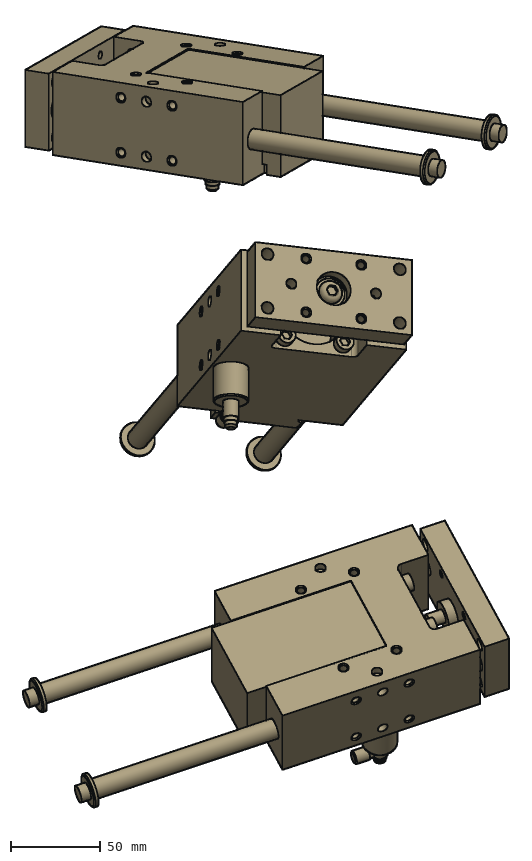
import cadquery as cq
import math


plate_length = 15.0
plate_width = 92.0
plate_height = 45.3
plate_bottom_z = 1.3
corner_hole_d = 7.0
corner_hole_y = 38.8
dowel_d = 6.0
plate_dowel_y = 24.9
plate_dowel_depth = 10.0
tap_d = 4.5
tap_mouth_d = 6.0
plate_recess_d = 20.0
plate_recess_depth = 7.0

axis_z = plate_bottom_z + plate_height / 2
rod_y = 37.0
tap_spacing = 32.5
tap_offset = tap_spacing / 2

washer_d = 17.0
washer_height = 0.8
screw_head_d = 13.5
screw_head_flat_d = 7.0
screw_head_height = 3.5
screw_socket_d = 6.5
screw_socket_depth = 2.0
collar_end_x = 20.7
screw_shank_d = 8.0
screw_shank_end_x = 30.0

rod_d = 12.0
rod_shoulder_x = 250.7
rod_tip_d = 10.0
total_length = 259.0
stop_disc_d = 20.0
stop_disc_thickness = 2.5
stop_disc_chamfer = 0.8

housing_start_x = 19.0
housing_length = 120.5
housing_width = 97.0
housing_height = 49.0
housing_end_x = housing_start_x + housing_length
notch_width = 50.5
notch_end_x = 38.5
notch_corner_r = 3.0
bore_d = 37.8

block_start_x = 66.0
block_end_x = 151.0
block_width = 50.8
block_height = 48.2
relief_r = 2.8
relief_height = 6.0

bolt_offset = 17.0
bolt_head_d = 10.0
bolt_head_height = 5.5
bolt_socket_d = 6.0
bolt_socket_depth = 3.0

mount_x = 78.2
tap_depth = 10.0
drill_point_slope = math.radians(30)
dowel_depth = 5.0
top_tap_y = 30.3
top_dowel_y = 40.5

fitting_x = 75.0
fitting_base_d = 20.0
fitting_base_end_z = -20.2
fitting_base_chamfer = 0.8
stem_d = 9.0
stem_end_z = -30.3
neck_d = 8.0
neck_end_z = -32.6
nose_d = 7.0
nose_end_z = -36.3
nose_chamfer = 1.3
port_z = -26.2
port_stub_d = 4.1
port_stub_end_x = 80.0
port_neck_d = 7.0
port_neck_end_x = 82.5
port_d = 8.0
port_end_x = 91.5
port_chamfer = 0.8


def block_between(x_start, x_end, width, z_start, z_end):
    """Box between two X stations, centred on Y = 0."""
    return (
        cq.Workplane("XY")
        .box(x_end - x_start, width, z_end - z_start, centered=(False, True, False))
        .translate((x_start, 0, z_start))
    )


def rod_along_x(diameter, x_start, x_end, y=0.0, z=axis_z):
    """Cylinder along X between two stations."""
    return cq.Workplane("YZ", origin=(x_start, y, z)).circle(diameter / 2).extrude(x_end - x_start)


def rod_along_z(diameter, z_start, z_end):
    """Cylinder along Z on the axis of the plug fitting."""
    center = (fitting_x, rod_y, z_start)
    return cq.Workplane("XY", origin=center).circle(diameter / 2).extrude(z_end - z_start)


def hex_socket(diameter, x_start, depth, y, z):
    """Hexagonal recess for a key, opening toward -X."""
    return cq.Workplane("YZ", origin=(x_start, y, z)).polygon(6, diameter).extrude(depth)


def tapped_hole(mouth_center, direction):
    """Tool for a blind hole with a chamfered mouth and a drill-point bottom."""
    mouth_r = tap_mouth_d / 2
    hole_r = tap_d / 2
    chamfer = mouth_r - hole_r
    outline = [
        (0, 0),
        (mouth_r, 0),
        (hole_r, chamfer),
        (hole_r, tap_depth),
        (0, tap_depth + hole_r * math.tan(drill_point_slope)),
    ]
    x_direction = (1, 0, 0)
    normal = cq.Vector(*x_direction).cross(cq.Vector(*direction))
    plane = cq.Plane(origin=mouth_center, xDir=x_direction, normal=normal.toTuple())
    return cq.Workplane(plane).polyline(outline).close().revolve(360, (0, 0, 0), (0, 1, 0))


def dowel_hole(mouth_center, direction):
    """Tool for a plain blind dowel hole."""
    return cq.Workplane(cq.Solid.makeCylinder(dowel_d / 2, dowel_depth, mouth_center, direction))


def make_plate():
    """Front plate with its screw, dowel and corner holes."""
    plate = block_between(
        0, plate_length, plate_width, plate_bottom_z, plate_bottom_z + plate_height
    )
    for side in (-1, 1):
        plate = plate.cut(rod_along_x(dowel_d, 0, plate_dowel_depth, side * plate_dowel_y))
        for level in (-1, 1):
            hole_z = axis_z + level * tap_offset
            tap_y = side * tap_offset
            plate = plate.cut(rod_along_x(corner_hole_d, 0, plate_length, side * corner_hole_y, hole_z))
            plate = plate.cut(rod_along_x(tap_d, 0, plate_length, tap_y, hole_z))
            mouth_depth = (tap_mouth_d - tap_d) / 2
            mouth = cq.Solid.makeCone(
                tap_mouth_d / 2, tap_d / 2, mouth_depth, (0, tap_y, hole_z), (1, 0, 0)
            )
            plate = plate.cut(cq.Workplane(mouth))
    return plate.cut(rod_along_x(plate_recess_d, 0, plate_recess_depth))


def make_coupling_screw():
    """Round-headed screw with its washer, the collar behind the plate and the shank."""
    washer_x = plate_recess_depth - washer_height
    flat_x = washer_x - screw_head_height
    head_r = screw_head_d / 2
    flat_r = screw_head_flat_d / 2
    dome_angle = math.radians(45)
    dome_mid = (
        washer_x - screw_head_height * math.sin(dome_angle),
        flat_r + (head_r - flat_r) * math.cos(dome_angle),
    )
    head = (
        cq.Workplane("XY")
        .moveTo(washer_x, 0)
        .lineTo(washer_x, head_r)
        .threePointArc(dome_mid, (flat_x, flat_r))
        .lineTo(flat_x, 0)
        .close()
        .revolve(360, (0, 0, 0), (1, 0, 0))
        .translate((0, 0, axis_z))
    )
    head = head.cut(hex_socket(screw_socket_d, flat_x, screw_socket_depth, 0, axis_z))
    return (
        head.union(rod_along_x(washer_d, washer_x, plate_recess_depth))
        .union(rod_along_x(washer_d, plate_length, collar_end_x))
        .union(rod_along_x(screw_shank_d, collar_end_x, screw_shank_end_x))
    )


def make_guide_rod(y):
    """Guide rod with its stop disc and reduced tip."""
    disc_end_x = rod_shoulder_x + stop_disc_thickness
    disc = rod_along_x(stop_disc_d, rod_shoulder_x, disc_end_x, y)
    disc = disc.faces(">X").chamfer(stop_disc_chamfer)
    return (
        rod_along_x(rod_d, plate_length, rod_shoulder_x, y)
        .union(disc)
        .union(rod_along_x(rod_tip_d, disc_end_x, total_length, y))
    )


def make_slide():
    """Moving body: plate, coupling screw and both guide rods."""
    slide = make_plate().union(make_coupling_screw())
    for side in (-1, 1):
        slide = slide.union(make_guide_rod(side * rod_y))
    return slide


def make_housing_block():
    """Housing with its front notch, cylinder bore, rod bores and rear block."""
    housing = block_between(housing_start_x, housing_end_x, housing_width, 0, housing_height)
    notch = block_between(housing_start_x, notch_end_x, notch_width, 0, housing_height)
    housing = housing.cut(notch.edges("|Z and >X").fillet(notch_corner_r))

    housing = housing.cut(
        block_between(block_start_x, housing_end_x, block_width, block_height, housing_height)
    )
    rear_block = block_between(block_start_x, block_end_x, block_width, 0, block_height)
    for side in (-1, 1):
        relief_center = (housing_end_x, side * block_width / 2, 0)
        relief = cq.Workplane("XY", origin=relief_center).circle(relief_r).extrude(relief_height)
        rear_block = rear_block.cut(relief)
    housing = housing.union(rear_block)

    housing = housing.cut(rod_along_x(bore_d, notch_end_x, block_start_x))
    for side in (-1, 1):
        housing = housing.cut(rod_along_x(rod_d, housing_start_x, housing_end_x, side * rod_y))
    return housing


def cut_mounting_holes(housing):
    """Tapped and dowel holes in the top and in both long sides."""
    down = (0, 0, -1)
    for side in (-1, 1):
        inward = (0, -side, 0)
        side_y = side * housing_width / 2
        housing = housing.cut(dowel_hole((mount_x, side * top_dowel_y, housing_height), down))
        for level in (-1, 1):
            hole_z = axis_z + level * tap_offset
            housing = housing.cut(dowel_hole((mount_x, side_y, hole_z), inward))
        for end in (-1, 1):
            tap_x = mount_x + end * tap_offset
            housing = housing.cut(tapped_hole((tap_x, side * top_tap_y, housing_height), down))
            for level in (-1, 1):
                hole_z = axis_z + level * tap_offset
                housing = housing.cut(tapped_hole((tap_x, side_y, hole_z), inward))
    return housing


def make_bolt_head(y, z):
    """Socket head of a cylinder bolt, standing on the notch wall."""
    head_x = notch_end_x - bolt_head_height
    head = rod_along_x(bolt_head_d, head_x, notch_end_x, y, z)
    return head.cut(hex_socket(bolt_socket_d, head_x, bolt_socket_depth, y, z))


def make_plug_fitting():
    """Stepped fitting under the housing with a side port toward +X."""
    base = rod_along_z(fitting_base_d, fitting_base_end_z, 0)
    base = base.faces("<Z").chamfer(fitting_base_chamfer)
    nose = rod_along_z(nose_d, nose_end_z, neck_end_z).faces("<Z").chamfer(nose_chamfer)
    port = rod_along_x(port_d, port_neck_end_x, port_end_x, rod_y, port_z)
    port = port.faces(">X").chamfer(port_chamfer)
    return (
        base.union(rod_along_z(stem_d, stem_end_z, fitting_base_end_z))
        .union(rod_along_z(neck_d, neck_end_z, stem_end_z))
        .union(nose)
        .union(rod_along_x(port_stub_d, fitting_x, port_stub_end_x, rod_y, port_z))
        .union(rod_along_x(port_neck_d, port_stub_end_x, port_neck_end_x, rod_y, port_z))
        .union(port)
    )


def make_housing():
    """Fixed body: housing, rear block, bolt heads and plug fitting."""
    housing = cut_mounting_holes(make_housing_block())
    for side in (-1, 1):
        for level in (-1, 1):
            housing = housing.union(make_bolt_head(side * bolt_offset, axis_z + level * bolt_offset))
    return housing.union(make_plug_fitting())


slide = make_slide()
housing = make_housing()

result = cq.Compound.makeCompound([slide.val(), housing.val()])